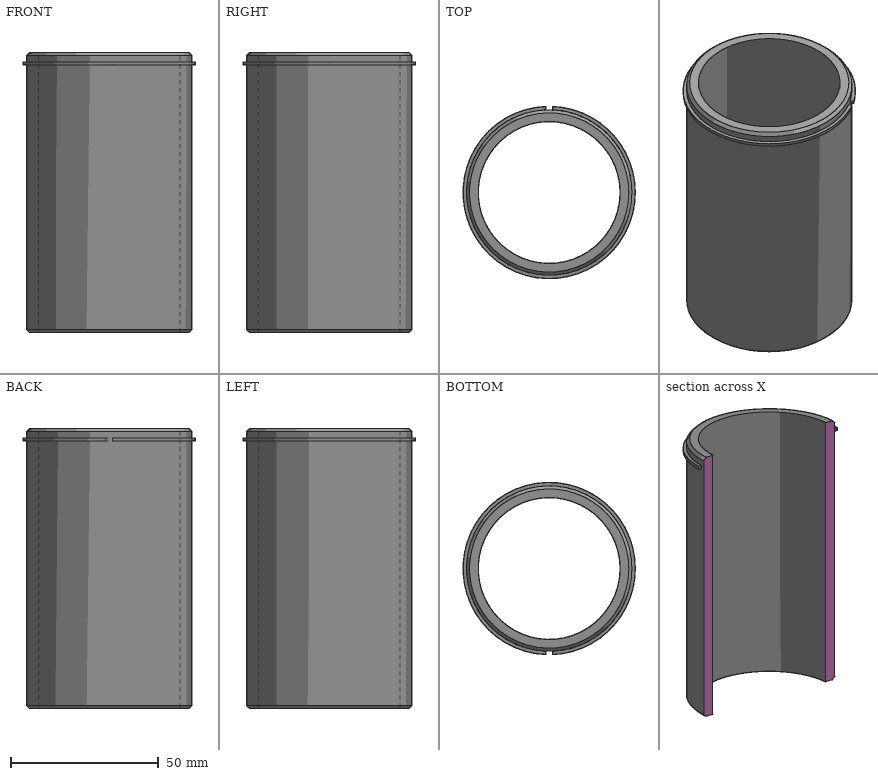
import cadquery as cq

sleeve_length = 95.0
sleeve_diameter = 56.05
bore_diameter = 48.0
rim_chamfer = 1.0

ring_diameter = 58.4
ring_thickness = 1.0
ring_depth_below_top = 3.2
ring_gap = 2.3

ring_base_z = sleeve_length - ring_depth_below_top - ring_thickness


def make_tube(outer_diameter, inner_diameter, height):
    """Tube standing on the XY plane, centred on the Z axis."""
    return (
        cq.Workplane("XY")
        .circle(outer_diameter / 2)
        .circle(inner_diameter / 2)
        .extrude(height)
    )


def make_sleeve():
    """Tube with a chamfer around each outer rim."""
    tube = make_tube(sleeve_diameter, bore_diameter, sleeve_length)
    outer_rims = tube.faces("<Z or >Z").edges(cq.selectors.RadiusNthSelector(-1))
    return outer_rims.chamfer(rim_chamfer)


def make_split_ring():
    """Flat ring resting on the sleeve's outer wall, open at its +Y side."""
    ring = make_tube(ring_diameter, sleeve_diameter, ring_thickness)
    gap_cutter = cq.Workplane("XY").box(
        ring_gap, ring_diameter, ring_thickness, centered=(True, False, False)
    )
    return ring.cut(gap_cutter).translate((0, 0, ring_base_z))


sleeve = make_sleeve()
split_ring = make_split_ring()

result = cq.Compound.makeCompound([sleeve.solids().val(), split_ring.solids().val()])